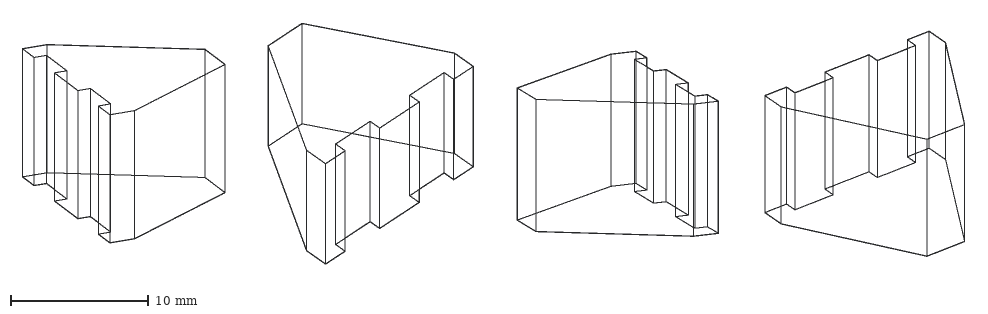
import cadquery as cq

width = 15.0
depth = 12.0
height = 10.0

side_depth = 2.0
back_width = 3.45

groove_width = 3.5
groove_depth = 1.0
edge_land = 2.0

half_width = width / 2
half_back = back_width / 2
groove_offset = half_width - edge_land - groove_width / 2


def make_body():
    """Prism with its front face on Y = 0 and its base on Z = 0."""
    outline = [
        (-half_width, 0),
        (half_width, 0),
        (half_width, side_depth),
        (half_back, depth),
        (-half_back, depth),
        (-half_width, side_depth),
    ]
    return cq.Workplane("XY").polyline(outline).close().extrude(height)


def make_groove(center_x):
    """Rectangular cutter for one front groove."""
    return (
        cq.Workplane("XY")
        .center(center_x, 0)
        .rect(groove_width, 2 * groove_depth)
        .extrude(height)
    )


result = make_body()
for side in (-1, 1):
    result = result.cut(make_groove(side * groove_offset))